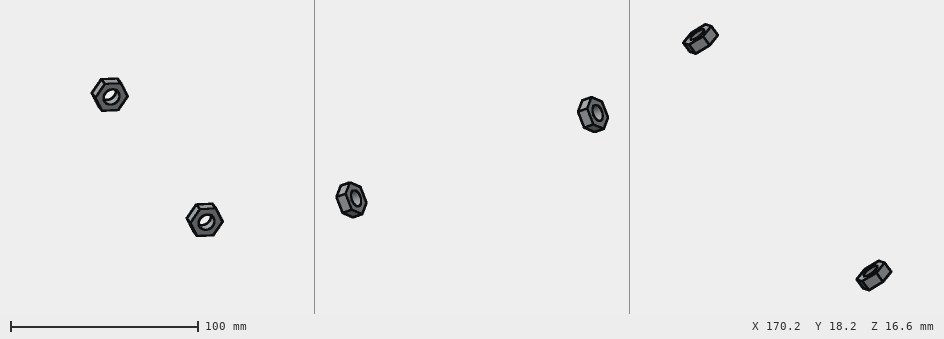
import cadquery as cq
import math

overall_length = 170.2
nut_thickness = 6.3
nut_sides = 6
across_flats = 15.8
bore_diameter = 8.9
nut_tilt = 5.7

across_corners = across_flats / math.cos(math.pi / nut_sides)
nut_starts = (-overall_length / 2, overall_length / 2 - nut_thickness)


def make_nut(start_x):
    """Hexagonal nut with a plain through bore, extending along +X from start_x."""
    nut = (
        cq.Workplane("YZ")
        .polygon(nut_sides, across_corners)
        .circle(bore_diameter / 2)
        .extrude(nut_thickness)
    )
    return nut.rotate((0, 0, 0), (1, 0, 0), -nut_tilt).translate((start_x, 0, 0))


nuts = [make_nut(start_x) for start_x in nut_starts]

result = cq.Compound.makeCompound([nut.val() for nut in nuts])